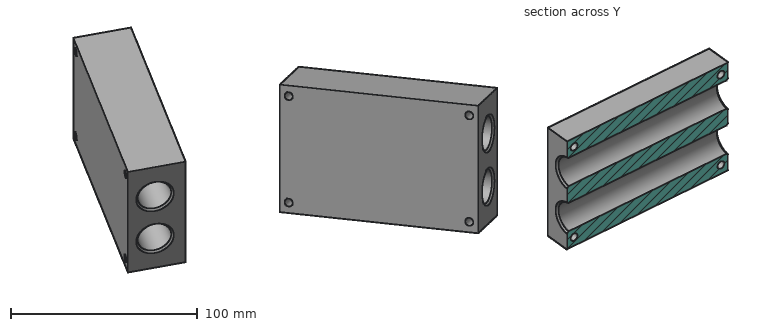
import cadquery as cq

length = 112.0
depth = 32.0
height = 72.0

mount_diameter = 4.5
mount_spacing_x = 101.9
mount_spacing_z = 60.0

bore_diameter = 18.6
bore_spacing = 30.0
bore_from_front = 15.0
chamfer_size = 1.1


def make_block():
    return cq.Workplane("XY").box(length, depth, height, centered=False)


def make_mounting_holes():
    """Four pins of material to remove, at the corners of a centred rectangle."""
    return (
        cq.Workplane("XZ", origin=(length / 2, 0, height / 2))
        .rect(mount_spacing_x, mount_spacing_z, forConstruction=True)
        .vertices()
        .circle(mount_diameter / 2)
        .extrude(-depth)
    )


def make_bore(center_z):
    """Bore along X, with a chamfered mouth at each end."""
    bore_radius = bore_diameter / 2
    mouth_radius = bore_radius + chamfer_size
    profile = [
        (0, 0),
        (0, mouth_radius),
        (chamfer_size, bore_radius),
        (length - chamfer_size, bore_radius),
        (length, mouth_radius),
        (length, 0),
    ]
    return (
        cq.Workplane("XY", origin=(0, bore_from_front, center_z))
        .polyline(profile)
        .close()
        .revolve(360, (0, 0), (1, 0))
    )


result = make_block().cut(make_mounting_holes())
for side in (-1, 1):
    result = result.cut(make_bore(height / 2 + side * bore_spacing / 2))